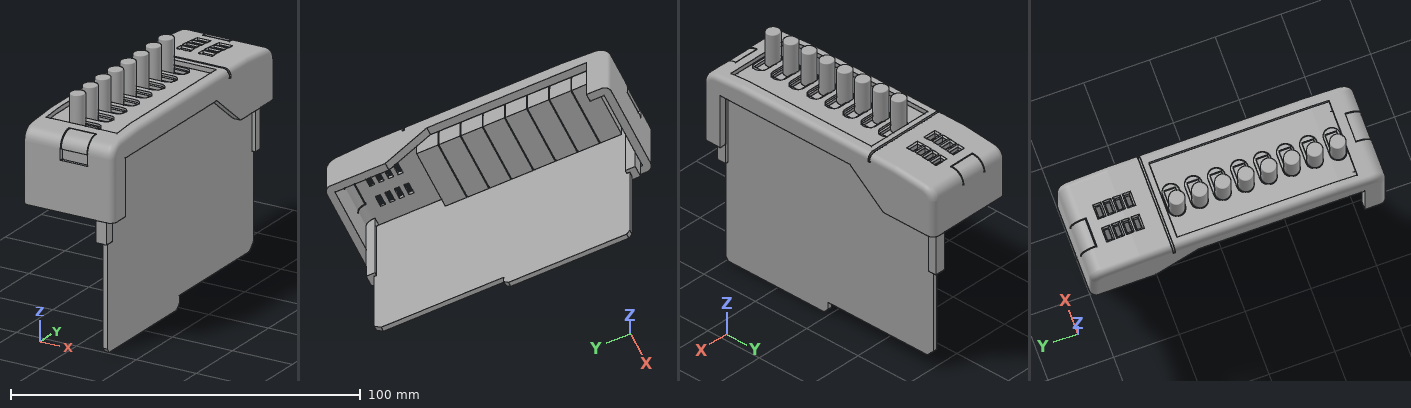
import cadquery as cq
import math


cover_width = 30.55
cover_length = 90.0
cover_half_width = cover_width / 2
cover_half_length = cover_length / 2
wall = 2.45
edge_radius = 2.15
cavity_top = -2.2
cavity_radius = 2.5
rear_bottom = -17.65
front_bottom = -25.2
rear_slope_start = 29.65
front_slope_start = -30.0
rear_slope = 0.1
front_slope = 0.076
rear_radius = 4.15
front_radius = 4.85

opening_top = -7.05
opening_front = -38.1
opening_rear_low = 25.5
opening_rear_high = 12.35

groove_front = 19.5
groove_rear = 20.15
groove_depth = 0.95
groove_inset = 0.3
groove_ledge = -2.75

panel_half_width = 11.85
panel_rear = 17.7
panel_front = -37.1
panel_depth = 1.5
panel_slope_start = -31.6

window_length = 4.5
window_width = 2.5
window_chamfer = 0.5
window_columns = (-3.93, 3.36)
window_rows = 4
window_row_pitch = 3.0
first_window_y = 35.85

tab_slot_width = 9.1
tab_gap = 0.27
front_tab_sink = 0.12
notch_bottom = -9.1
notch_depth = 0.9
front_tab_x = 2.15
front_tab_length = 4.9
rear_tab_x = -1.77
rear_tab_length = 4.9

leg_thickness = 3.65
leg_bottom = -33.25
leg_inner_rear = 39.7
leg_inner_front = -39.4

board_center_x = 9.78
board_thickness = 1.55
board_top = -5.0
board_rear = 40.55
board_front = -40.35
board_step_y = -0.45
board_rear_bottom = -63.7
board_bottom = -67.72
rear_corner = 2.3
step_corner = 1.55
front_corner_y = 1.0
front_corner_z = 1.4

switch_count = 8
switch_pitch = 7.0
first_switch_y = 14.6
switch_gap = 0.27
switch_top = cavity_top
switch_bottom = -9.77
switch_right = board_center_x - board_thickness / 2
slot_center_x = -0.6
slot_length = 10.1
slot_width = 5.1
inner_slot_shift = 0.18
lever_x = -3.0
lever_diameter = 4.7
lever_top = 8.0
lever_edge = 0.3
travel_half_length = 3.7
travel_width = 3.5
travel_depth = 1.0


def box(x0, x1, y0, y1, z0, z1):
    return cq.Workplane("XY").box(x1 - x0, y1 - y0, z1 - z0, centered=False).translate((x0, y0, z0))


def prism_along_x(outline, x0, x1):
    return outline.extrude(x1 - x0).translate((x0, 0, 0))


def switch_y(index):
    return first_switch_y - index * switch_pitch


def end_arc(sign, slope_start, slope, radius):
    """Start, middle and end of the arc joining a sloping top to an end wall.

    Points are (y, z); sign is +1 at the rear end and -1 at the front end.
    """
    angle = math.atan(slope)
    center_y = cover_half_length - radius
    center_run = center_y - abs(slope_start)
    center_z = -slope * center_run - radius / math.cos(angle)
    start = (sign * (center_y + radius * math.sin(angle)), center_z + radius * math.cos(angle))
    middle_angle = (math.pi / 2 + angle) / 2
    middle = (
        sign * (center_y + radius * math.sin(middle_angle)),
        center_z + radius * math.cos(middle_angle),
    )
    end = (sign * cover_half_length, center_z)
    return start, middle, end


def cover_blank():
    rear_start, rear_middle, rear_end = end_arc(1, rear_slope_start, rear_slope, rear_radius)
    front_start, front_middle, front_end = end_arc(-1, front_slope_start, front_slope, front_radius)
    outline = (
        cq.Workplane("YZ")
        .moveTo(-cover_half_length, front_bottom)
        .lineTo(*front_end)
        .threePointArc(front_middle, front_start)
        .lineTo(front_slope_start, 0)
        .lineTo(rear_slope_start, 0)
        .lineTo(*rear_start)
        .threePointArc(rear_middle, rear_end)
        .lineTo(cover_half_length, front_bottom)
        .close()
    )
    blank = prism_along_x(outline, -cover_half_width, cover_half_width)
    return blank.faces("<X or >X").edges("not <Z").fillet(edge_radius)


def cavity():
    half_x = cover_half_width - wall
    half_y = cover_half_length - wall
    space = box(-half_x, half_x, -half_y, half_y, front_bottom, cavity_top)
    return space.faces(">Z").edges("|X").fillet(cavity_radius)


def side_opening():
    outline = cq.Workplane("YZ").polyline(
        [
            (opening_front, front_bottom),
            (opening_front, opening_top),
            (opening_rear_high, opening_top),
            (opening_rear_low, rear_bottom),
            (cover_half_length, rear_bottom),
            (cover_half_length, front_bottom),
        ]
    ).close()
    return prism_along_x(outline, -cover_half_width, cover_half_width)


def top_groove():
    slab = box(-cover_half_width, cover_half_width, groove_front, groove_rear, groove_ledge, 0)
    core_half_width = cover_half_width - groove_inset
    core = box(-core_half_width, core_half_width, groove_front, groove_rear, front_bottom, -groove_depth)
    core = core.faces(">Z").edges("|Y").fillet(edge_radius - groove_inset)
    return slab.cut(core)


def label_recess():
    end_depth = panel_depth + front_slope * (panel_slope_start - panel_front)
    outline = cq.Workplane("YZ").polyline(
        [
            (panel_rear, 0),
            (panel_rear, -panel_depth),
            (panel_slope_start, -panel_depth),
            (panel_front, -end_depth),
            (panel_front, 0),
        ]
    ).close()
    return prism_along_x(outline, -panel_half_width, panel_half_width)


def lever_slots():
    """Through slots; all but the first and last sit slightly to the rear of their levers."""
    centers = []
    for index in range(switch_count):
        at_end = index in (0, switch_count - 1)
        shift = 0 if at_end else inner_slot_shift
        centers.append((slot_center_x, switch_y(index) + shift))
    slots = cq.Workplane("XY").workplane(offset=cavity_top).pushPoints(centers)
    return slots.slot2D(slot_length, slot_width).extrude(-cavity_top)


def indicator_window(x, y):
    """Through hole with a chamfered mouth that lies in the surface of the cover."""
    hole_length = window_length - 2 * window_chamfer
    hole_width = window_width - 2 * window_chamfer
    mouth = (
        cq.Workplane("XY")
        .rect(window_length, window_width)
        .workplane(offset=-window_chamfer)
        .rect(hole_length, hole_width)
        .loft(ruled=True)
    )
    slope_run = max(0, y - rear_slope_start)
    if slope_run:
        mouth = mouth.rotate((0, 0, 0), (1, 0, 0), -math.degrees(math.atan(rear_slope)))
    mouth = mouth.translate((x, y, -rear_slope * slope_run))
    hole = box(
        x - hole_length / 2, x + hole_length / 2, y - hole_width / 2, y + hole_width / 2, cavity_top, 0
    )
    return mouth.union(hole)


def cut_indicator_windows(cover):
    for x in window_columns:
        for row in range(window_rows):
            cover = cover.cut(indicator_window(x, first_window_y - row * window_row_pitch))
    return cover


def front_tab_cut():
    """Sunk face of the front tab, the gaps on its sides and the finger notch under it."""
    left = front_tab_x - tab_slot_width / 2
    right = left + tab_slot_width
    y0 = -cover_half_length
    y1 = y0 + front_tab_length
    arc_start, arc_middle, arc_end = end_arc(-1, front_slope_start, front_slope, front_radius)
    arc_bottom = arc_end[1]
    under_top = (
        cq.Workplane("YZ")
        .moveTo(y0, front_bottom)
        .lineTo(*arc_end)
        .threePointArc(arc_middle, arc_start)
        .lineTo(front_slope_start, 0)
        .lineTo(front_slope_start, front_bottom)
        .close()
        .offset2D(-front_tab_sink)
    )
    cut = box(left, right, y0, y1, arc_bottom, 0).cut(prism_along_x(under_top, left, right))
    cut = cut.union(box(left, right, y0, y0 + notch_depth, notch_bottom, arc_bottom))
    for gap_left in (left, right - tab_gap):
        cut = cut.union(box(gap_left, gap_left + tab_gap, y0, y1, notch_bottom, 0))
    return cut


def rear_tab_cut():
    """Gap along the sides and the upper end of the rear tab, which is flush with the cover."""
    left = rear_tab_x - tab_slot_width / 2
    right = left + tab_slot_width
    y1 = cover_half_length
    y0 = y1 - rear_tab_length
    arc_end = end_arc(1, rear_slope_start, rear_slope, rear_radius)[2]
    arc_bottom = arc_end[1]
    slot = box(left, right, y0, y1, arc_bottom, 0)
    return slot.cut(box(left + tab_gap, right - tab_gap, y0 + tab_gap, y1, arc_bottom, 0))


def leg(y0, y1):
    half = leg_thickness / 2
    return box(board_center_x - half, board_center_x + half, y0, y1, leg_bottom, cavity_top)


def make_cover():
    cover = cover_blank().cut(cavity()).cut(side_opening())
    cover = cover.cut(top_groove()).cut(label_recess()).cut(lever_slots())
    cover = cut_indicator_windows(cover)
    cover = cover.cut(front_tab_cut()).cut(rear_tab_cut())
    leg_outer = cover_half_length - wall
    return cover.union(leg(leg_inner_rear, leg_outer)).union(leg(-leg_outer, leg_inner_front))


def make_board():
    outline = cq.Workplane("YZ").polyline(
        [
            (board_rear, board_top),
            (board_rear, board_rear_bottom + rear_corner),
            (board_rear - rear_corner, board_rear_bottom),
            (board_step_y, board_rear_bottom),
            (board_step_y, board_bottom + step_corner),
            (board_step_y - step_corner, board_bottom),
            (board_front + front_corner_y, board_bottom),
            (board_front, board_bottom + front_corner_z),
            (board_front, board_top),
        ]
    ).close()
    half = board_thickness / 2
    return prism_along_x(outline, board_center_x - half, board_center_x + half)


def make_switch(y):
    half_y = (switch_pitch - switch_gap) / 2
    switch_left = 2 * slot_center_x - switch_right
    body = box(switch_left, switch_right, y - half_y, y + half_y, switch_bottom, switch_top)
    travel = box(
        slot_center_x - travel_half_length,
        slot_center_x + travel_half_length,
        y - travel_width / 2,
        y + travel_width / 2,
        switch_top - travel_depth,
        switch_top,
    )
    lever_base = switch_top - travel_depth
    lever = (
        cq.Workplane("XY")
        .workplane(offset=lever_base)
        .center(lever_x, y)
        .circle(lever_diameter / 2)
        .extrude(lever_top - lever_base)
        .faces(">Z")
        .edges()
        .fillet(lever_edge)
    )
    return body.cut(travel).union(lever)


board = make_board()
cover = make_cover().cut(board)
switches = [make_switch(switch_y(index)).val() for index in range(switch_count)]

result = cq.Compound.makeCompound([cover.val(), board.val(), *switches])